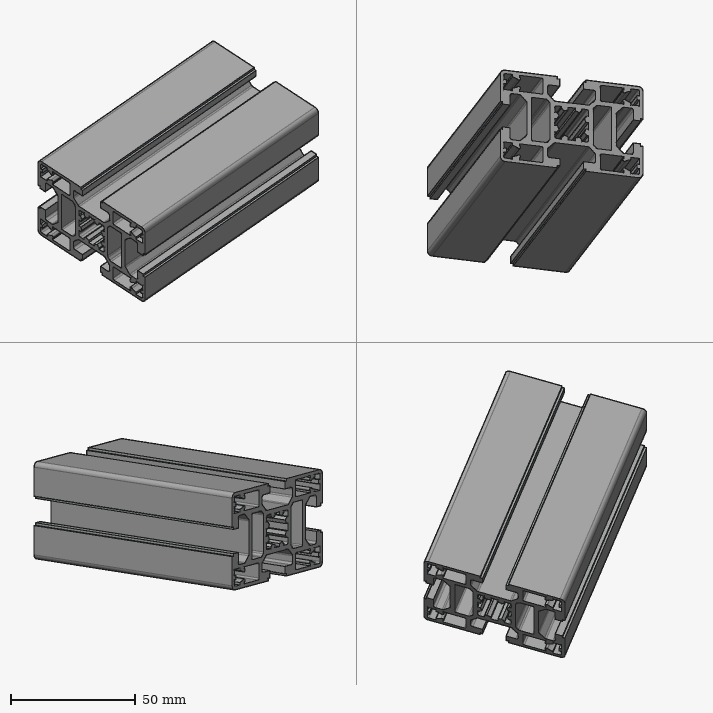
import cadquery as cq
import math

width = 60.0
height = 40.0
length = 100.0
corner_radius = 2.0
half_width = width / 2
half_height = height / 2

slot_opening = 10.0
slot_inner_width = 20.2
lip_thickness = 4.1
rebate = 1.0
slot_chamfer = 2.9
slot_fillet = 1.0
slot_edge_fillet = 1.0
end_slot_depth = 11.2
flat_slot_depth = 10.9
web = 2.0

core_size = height - 2 * (flat_slot_depth + web)
core_fillet = 0.9
screw_bore_radius = 6.1
screw_rib_width = 2.8
screw_rib_root = 0.7
screw_rib_offset = 2.9
side_hollow_half_height = 9.5
side_hollow_chamfer = 1.5
side_hollow_fillet = 0.5
side_hollow_blend = 1.0
corner_wall = 1.5
corner_hollow_depth = 8.5
corner_hollow_fillet = 0.7

key_height = 1.0
key_width = 1.8
hook_start = 5.1
hook_end = 8.1
hook_shoulder = 1.0
hook_height = 2.1
hook_bead_radius = 0.7
hook_sag = 0.1
hook_overhang = 0.4


def section():
    return cq.Workplane("XZ")


def extruded(sketch):
    return sketch.extrude(length / 2, both=True)


def box(x_min, x_max, z_min, z_max):
    """Full-length bar with a rectangular section."""
    middle = ((x_min + x_max) / 2, (z_min + z_max) / 2)
    return extruded(section().center(*middle).rect(x_max - x_min, z_max - z_min))


def round_edge_pair(body, x, z, radius):
    """Fillet the two lengthwise edges at (-x, z) and (x, z)."""
    for edge_x in (-x, x):
        edge = cq.selectors.NearestToPointSelector((edge_x, 0, z))
        body = body.edges(edge).fillet(radius)
    return body


def t_slot(face, depth):
    """Cutter for a slot that opens upwards at height `face`."""
    mouth = slot_opening / 2
    inner = slot_inner_width / 2
    lip = face - lip_thickness
    floor = face - depth
    right = [
        (mouth + rebate, face),
        (mouth + rebate, face - rebate),
        (mouth, face - rebate),
        (mouth, lip),
        (inner, lip),
        (inner, floor + slot_chamfer),
        (inner - slot_chamfer, floor),
    ]
    left = [(-x, z) for x, z in reversed(right)]
    cutter = extruded(section().polyline(right + left).close())

    cutter = round_edge_pair(cutter, inner, lip, slot_fillet)
    cutter = round_edge_pair(cutter, inner, floor + slot_chamfer, slot_edge_fillet)
    return round_edge_pair(cutter, inner - slot_chamfer, floor, slot_edge_fillet)


def core_hollow():
    """Square centre hollow with two bevelled screw ribs on each wall, trimmed by a round bore."""
    half = core_size / 2
    hollow = box(-half, half, -half, half).edges("|Y").fillet(core_fillet)
    inner_x = screw_rib_offset - screw_rib_width / 2
    outer_x = screw_rib_offset + screw_rib_width / 2
    bevel_top = half - screw_rib_root
    bevel_bottom = bevel_top - screw_rib_width
    rib = extruded(
        section()
        .polyline([(inner_x, half), (inner_x, bevel_bottom), (outer_x, bevel_top), (outer_x, half)])
        .close()
    )
    rib_pair = rib.union(rib.mirror("YZ"))
    for angle in (0, 90, 180, 270):
        hollow = hollow.cut(rib_pair.rotate((0, 0, 0), (0, 1, 0), angle))
    return hollow.union(extruded(section().circle(screw_bore_radius)))


def side_hollow():
    """Tall hollow on the +X side of the core, chamfered next to the core."""
    x_min = core_size / 2 + web
    x_max = half_width - end_slot_depth - web
    hollow = box(x_min, x_max, -side_hollow_half_height, side_hollow_half_height)
    hollow = hollow.edges("|Y and <X").chamfer(side_hollow_chamfer)
    hollow = hollow.edges("|Y and (not >X)").fillet(side_hollow_blend)
    return hollow.edges("|Y and >X").fillet(side_hollow_fillet)


def hook(wall_z):
    """Hook hanging from height `wall_z`: a hollow-ground wedge that ends in a round bead."""
    shoulder_x = half_width - hook_start
    flank_x = half_width - hook_end
    shoulder_z = wall_z - hook_shoulder
    bead_x = flank_x - hook_overhang + hook_bead_radius
    bead_z = wall_z - hook_height + hook_bead_radius
    bead_reach = hook_bead_radius * math.sqrt(0.5)
    slope_end = (bead_x + bead_reach, bead_z - bead_reach)
    slope_middle = (
        (shoulder_x + slope_end[0]) / 2,
        (shoulder_z + slope_end[1]) / 2 + hook_sag,
    )
    wedge = extruded(
        section()
        .moveTo(shoulder_x, wall_z)
        .lineTo(shoulder_x, shoulder_z)
        .threePointArc(slope_middle, slope_end)
        .lineTo(bead_x, bead_z)
        .lineTo(flank_x, bead_z)
        .lineTo(flank_x, wall_z)
        .close()
    )
    bead = extruded(section().center(bead_x, bead_z).circle(hook_bead_radius))
    return wedge.union(bead)


def corner_hollow():
    """Hollow in the +X +Z corner, with a key on its end wall and two facing hooks."""
    x_min = slot_inner_width / 2 + web
    x_max = half_width - corner_wall
    z_min = half_height - corner_hollow_depth
    z_max = half_height - corner_wall
    z_middle = (z_min + z_max) / 2
    hollow = box(x_min, x_max, z_min, z_max)
    hollow = hollow.edges("|Y and (<X or >Z)").fillet(corner_hollow_fillet)
    key = box(x_max - key_height, x_max, z_middle - key_width / 2, z_middle + key_width / 2)
    upper_hook = hook(z_max)
    lower_hook = upper_hook.mirror("XY", (0, 0, z_middle))
    return hollow.cut(key).cut(upper_hook).cut(lower_hook)


result = box(-half_width, half_width, -half_height, half_height).edges("|Y").fillet(corner_radius)

flat_slot = t_slot(half_height, flat_slot_depth)
end_slot = t_slot(half_width, end_slot_depth).rotate((0, 0, 0), (0, 1, 0), 90)
result = result.cut(flat_slot).cut(flat_slot.mirror("XY"))
result = result.cut(end_slot).cut(end_slot.mirror("YZ"))

result = result.cut(core_hollow())
result = result.cut(side_hollow()).cut(side_hollow().mirror("YZ"))

right_corners = corner_hollow().union(corner_hollow().mirror("XY"))
result = result.cut(right_corners).cut(right_corners.mirror("YZ"))